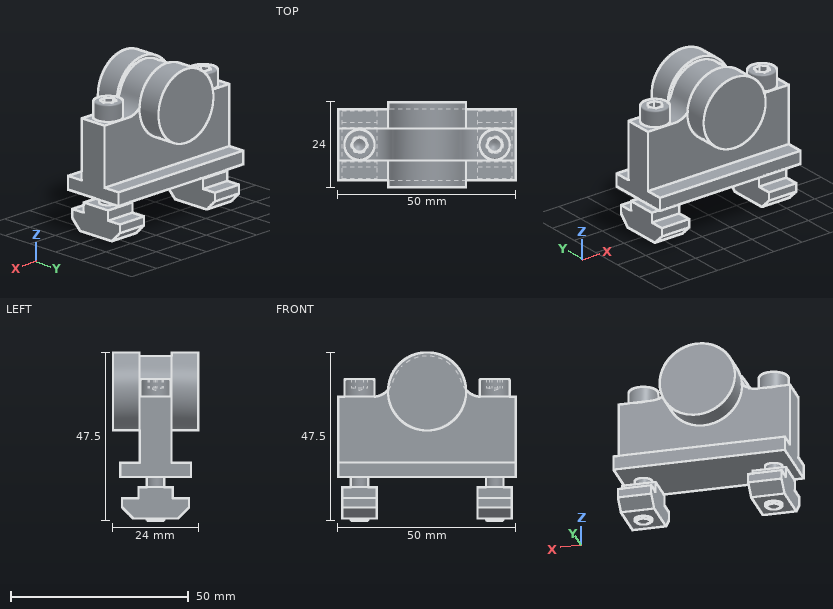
import cadquery as cq
import math

length = 50.0
plate_width = 20.0
plate_height = 4.1
web_width = 9.0
web_top = 22.6

hub_radius = 10.0
disc_radius = 11.0
disc_span = 24.0
hub_z = web_top + 1.5
blend_radius = 6.0

screw_x = 19.0
shank_diameter = 5.0
shank_length = 35.0
tip_chamfer = 0.5
head_diameter = 8.5
head_height = 5.0
head_edge_radius = 0.5
hex_across_flats = 4.0
hex_depth = 2.5
socket_cone_height = 0.7
left_hex_angle = 0.0
right_hex_angle = 10.0

nut_length = 9.75
nut_neck_width = 9.7
nut_width = 18.9
nut_top = -2.85
nut_shoulder = -5.9
nut_bottom = -11.7
nut_chamfer = 3.2


def make_plate():
    return cq.Workplane("XY").box(length, plate_width, plate_height, centered=(True, True, False))


def make_web():
    """Upright web whose top edge sweeps tangentially up and over the hub."""
    half_length = length / 2
    blend_z = web_top + blend_radius
    center_distance = hub_radius + blend_radius
    blend_x = math.sqrt(center_distance**2 - (blend_z - hub_z) ** 2)
    hub_share = hub_radius / center_distance
    tangent_x = blend_x * hub_share
    tangent_z = hub_z + (blend_z - hub_z) * hub_share
    hub_direction = math.atan2(hub_z - blend_z, -blend_x)
    mid_angle = (hub_direction - math.pi / 2) / 2
    mid_x = blend_x + blend_radius * math.cos(mid_angle)
    mid_z = blend_z + blend_radius * math.sin(mid_angle)
    return (
        cq.Workplane("XZ")
        .moveTo(-half_length, 0)
        .lineTo(half_length, 0)
        .lineTo(half_length, web_top)
        .lineTo(blend_x, web_top)
        .threePointArc((mid_x, mid_z), (tangent_x, tangent_z))
        .threePointArc((0, hub_z + hub_radius), (-tangent_x, tangent_z))
        .threePointArc((-mid_x, mid_z), (-blend_x, web_top))
        .lineTo(-half_length, web_top)
        .close()
        .extrude(web_width / 2, both=True)
    )


def make_discs():
    """Pair of end discs, separated by the thickness of the web."""
    profile = cq.Workplane("XZ").center(0, hub_z).circle(disc_radius)
    discs = profile.extrude(disc_span / 2, both=True)
    gap = cq.Workplane("XZ").center(0, hub_z).circle(disc_radius).extrude(web_width / 2, both=True)
    return discs.cut(gap)


def make_screw(x, hex_angle):
    """Socket head screw seated on the web, with a conical socket bottom."""
    head_top = web_top + head_height
    shank = (
        cq.Workplane("XY", origin=(x, 0, web_top))
        .circle(shank_diameter / 2)
        .extrude(-shank_length)
        .faces("<Z")
        .chamfer(tip_chamfer)
    )
    head = (
        cq.Workplane("XY", origin=(x, 0, web_top))
        .circle(head_diameter / 2)
        .extrude(head_height)
        .faces(">Z")
        .edges()
        .fillet(head_edge_radius)
    )
    across_corners = hex_across_flats / math.cos(math.pi / 6)
    hexagon = (
        cq.Workplane("XY", origin=(x, 0, head_top))
        .transformed(rotate=(0, 0, hex_angle))
        .polygon(6, across_corners)
        .extrude(-hex_depth)
    )
    cone = cq.Workplane(
        cq.Solid.makeCone(
            hex_across_flats / 2,
            0,
            socket_cone_height,
            pnt=cq.Vector(x, 0, head_top - hex_depth),
            dir=cq.Vector(0, 0, -1),
        )
    )
    return shank.union(head).cut(hexagon).cut(cone)


def make_nut(x):
    """T-slot nut with a raised neck and bevelled lower edges."""
    neck = nut_neck_width / 2
    side = nut_width / 2
    right_half = [
        (neck, nut_top),
        (neck, nut_shoulder),
        (side, nut_shoulder),
        (side, nut_bottom + nut_chamfer),
        (side - nut_chamfer, nut_bottom),
    ]
    left_half = [(-y, z) for y, z in reversed(right_half)]
    return (
        cq.Workplane("YZ", origin=(x, 0, 0))
        .polyline(right_half + left_half)
        .close()
        .extrude(nut_length / 2, both=True)
    )


result = make_plate().union(make_web()).union(make_discs())
for x, hex_angle in ((-screw_x, left_hex_angle), (screw_x, right_hex_angle)):
    result = result.union(make_screw(x, hex_angle)).union(make_nut(x))